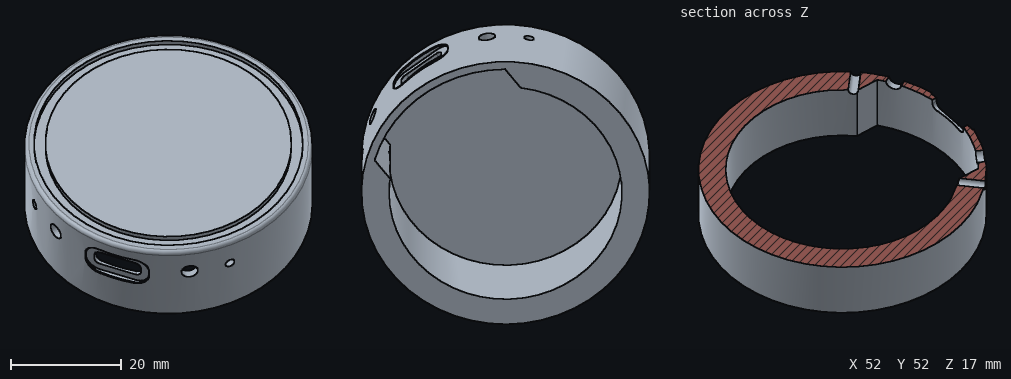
import cadquery as cq

outer_diameter = 52.0
height = 17.0
rim_fillet = 0.8
bore_diameter = 42.0

relief_diameter = 49.0
relief_width = 29.65

groove_diameter = 48.5
disc_diameter = 44.4
groove_depth = 1.05
plate_thickness = 1.05

large_hole_diameter = 2.95
large_hole_angle = 30.0
large_hole_z = 11.45
small_hole_diameter = 1.75
small_hole_angle = 46.8
small_hole_z = 11.2

port_z = 10.85
slot_width = 9.05
slot_height = 3.1
slot_corner = 1.15
recess_width = 12.15
recess_height = 6.15
recess_corner = 2.7
recess_depth = 0.95
recess_edge_chamfer = 0.15

outer_radius = outer_diameter / 2
groove_floor_z = height - groove_depth
cavity_height = groove_floor_z - plate_thickness
cut_reach = outer_radius + 0.5
cut_length = outer_radius / 2


def disc(diameter, bottom_z, thickness):
    """Round slab centred on the Z axis."""
    return cq.Workplane("XY").workplane(offset=bottom_z).circle(diameter / 2).extrude(thickness)


def radial_hole(diameter, z, angle):
    """Cutter through the front wall, turned about Z away from the port."""
    cutter = cq.Workplane("XZ", origin=(0, -cut_reach, z)).circle(diameter / 2).extrude(-cut_length)
    return cutter.rotate((0, 0, 0), (0, 0, 1), angle)


def rounded_cutter(width, tall, corner, depth):
    """Rounded rectangular cutter entering the front wall to a depth below its outermost line."""
    bottom_y = depth - outer_radius
    return (
        cq.Workplane("XZ", origin=(0, -cut_reach, port_z))
        .rect(width, tall)
        .extrude(-(bottom_y + cut_reach))
        .edges("|Y")
        .fillet(corner)
    )


result = disc(outer_diameter, 0, height).faces(">Z").edges().fillet(rim_fillet)

groove = disc(groove_diameter, groove_floor_z, groove_depth)
result = result.cut(groove.cut(disc(disc_diameter, groove_floor_z, groove_depth)))

result = result.cut(disc(bore_diameter, 0, cavity_height))

relief_band = cq.Workplane("XY").box(
    relief_width, outer_radius, cavity_height, centered=(True, False, False)
)
relief_band = relief_band.translate((0, -outer_radius, 0))
result = result.cut(disc(relief_diameter, 0, cavity_height).intersect(relief_band))

result = result.cut(rounded_cutter(recess_width, recess_height, recess_corner, recess_depth))
port_region = cq.selectors.BoxSelector(
    (-recess_width, -cut_reach, port_z - recess_height),
    (recess_width, 0, port_z + recess_height),
)
outer_wall = result.faces(cq.selectors.AreaNthSelector(-1))
result = outer_wall.edges(port_region).chamfer(recess_edge_chamfer)

result = result.cut(rounded_cutter(slot_width, slot_height, slot_corner, cut_length))

for side in (-1, 1):
    result = result.cut(radial_hole(large_hole_diameter, large_hole_z, side * large_hole_angle))
    result = result.cut(radial_hole(small_hole_diameter, small_hole_z, side * small_hole_angle))